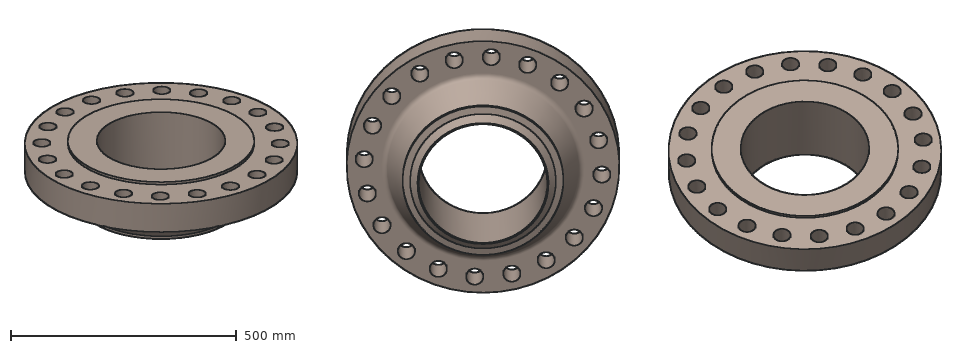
import math

import cadquery as cq


flange_diameter = 603.25
flange_thickness = 69.85
raised_face_diameter = 412.75
raised_face_height = 6.35

bolt_count = 20
bolt_circle_diameter = 527.05
bolt_hole_diameter = 38.1

total_height = 171.45
hub_base_diameter = 431.8
hub_fillet_radius = 14.0
weld_end_diameter = 355.6
weld_end_length = 7.0
bore_diameter = 284.2

root_land_width = 3.0
steep_bevel_height = 13.5
steep_bevel_angle = 50.0
shallow_bevel_angle = 10.0

flange_radius = flange_diameter / 2
raised_face_radius = raised_face_diameter / 2
hub_base_radius = hub_base_diameter / 2
weld_end_radius = weld_end_diameter / 2
bore_radius = bore_diameter / 2
root_radius = bore_radius + root_land_width
bevel_knee_radius = root_radius + steep_bevel_height * math.tan(math.radians(steep_bevel_angle))

shallow_bevel_height = (weld_end_radius - bevel_knee_radius) * math.tan(math.radians(shallow_bevel_angle))
bevel_top_z = steep_bevel_height + shallow_bevel_height
hub_bottom_z = bevel_top_z + weld_end_length
flange_top_z = total_height - raised_face_height
flange_bottom_z = flange_top_z - flange_thickness


def make_body():
    """Revolve the half section about Z."""
    section = (
        cq.Workplane("XZ")
        .moveTo(bore_radius, 0)
        .lineTo(root_radius, 0)
        .lineTo(bevel_knee_radius, steep_bevel_height)
        .lineTo(weld_end_radius, bevel_top_z)
        .lineTo(weld_end_radius, hub_bottom_z)
        .lineTo(hub_base_radius, flange_bottom_z)
        .lineTo(flange_radius, flange_bottom_z)
        .lineTo(flange_radius, flange_top_z)
        .lineTo(raised_face_radius, flange_top_z)
        .lineTo(raised_face_radius, total_height)
        .lineTo(bore_radius, total_height)
        .close()
    )
    return section.revolve(360, (0, 0, 0), (0, 1, 0))


def fillet_hub(body):
    """Round the inner corner where the tapered hub meets the flange."""
    margin = 1.0
    reach = hub_base_radius + margin
    corner = cq.selectors.BoxSelector(
        (-reach, -reach, flange_bottom_z - margin),
        (reach, reach, flange_bottom_z + margin),
        boundingbox=True,
    )
    return body.edges(corner).fillet(hub_fillet_radius)


def make_bolt_holes():
    """Cylinders through the flange disc, the first one on the +X axis."""
    return (
        cq.Workplane("XY", origin=(0, 0, flange_bottom_z))
        .polarArray(bolt_circle_diameter / 2, 0, 360, bolt_count)
        .circle(bolt_hole_diameter / 2)
        .extrude(flange_thickness)
    )


result = fillet_hub(make_body()).cut(make_bolt_holes())